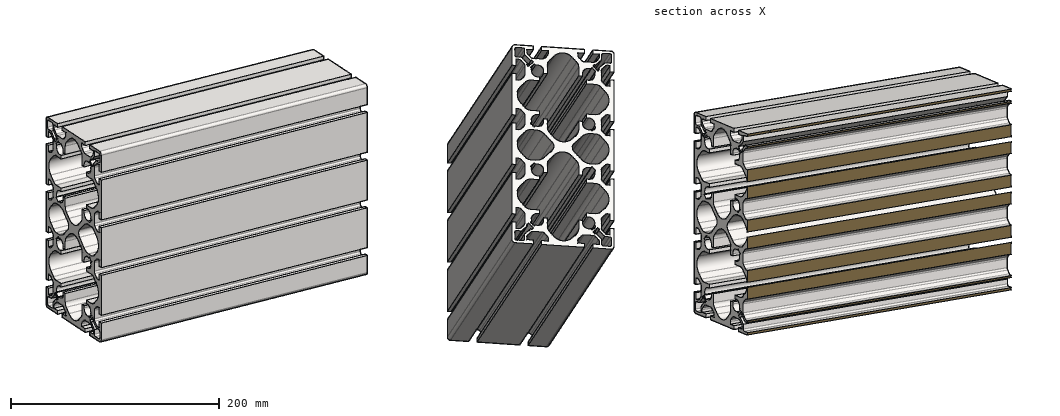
import cadquery as cq
import math

length = 300.0
cell = length / 3
width = cell
height = 2 * cell
slot_inset = cell / 4
node = cell / 2 - slot_inset
outer_radius = 3.0

slot_opening = 8.0
slot_lip = 4.0
slot_half_width = 10.5
slot_depth = 12.5
slot_chamfer = 4.8
slot_fillet = 3.0

lobe_half_width = 15.3
lobe_tip_wall = 5.0
lobe_tip = cell / 2 - lobe_tip_wall
lobe_tip_radius = 12.0
lobe_apex = lobe_tip + (math.sqrt(2) - 1) * lobe_tip_radius
shoulder_radius = 7.0

bore_radius = 6.0
bore_mouth = 2.0
lip_face = node - lobe_half_width
notch_width = 5.0
notch_reach = 7.2

corner_wall = 2.7
corner_end = 12.3
corner_fillet = 1.8
channel_width = 4.2
pocket_width = 6.5
pocket_depth = 2.5
pocket_end = 26.0

web_thickness = 4.8
opening_shoulder_radius = 12.0
opening_point_radius = 5.7


def profile():
    """Start a sketch in the XZ section plane."""
    return cq.Workplane("XZ")


def prism(outline):
    """Extrude a closed XZ outline over the full length."""
    return outline.close().extrude(-length)


def box(x_min, x_max, z_min, z_max):
    """Full-length bar with a rectangular section."""
    centre = ((x_min + x_max) / 2, (z_min + z_max) / 2)
    return profile().center(*centre).rect(x_max - x_min, z_max - z_min).extrude(-length)


def turned(body, angle, x=0.0, z=0.0):
    """Turn a body about the Y direction, then place it in the section."""
    return body.rotate((0, 0, 0), (0, 1, 0), angle).translate((x, 0, z))


def slot():
    """T-slot opening upwards, its mouth at z = 0."""
    floor_half_width = slot_half_width - slot_chamfer
    chamber = prism(profile().polyline([
        (-slot_half_width, -slot_lip),
        (-slot_half_width, slot_chamfer - slot_depth),
        (-floor_half_width, -slot_depth),
        (floor_half_width, -slot_depth),
        (slot_half_width, slot_chamfer - slot_depth),
        (slot_half_width, -slot_lip),
    ]))
    chamber = chamber.edges("|Y").edges("not >Z").fillet(slot_fillet)
    neck = box(-slot_opening / 2, slot_opening / 2, -slot_lip, 0)
    return chamber.union(neck)


def lobe(start):
    """Upward lobe about the origin, running from z = start to its round tip."""
    shoulder = lobe_apex - lobe_half_width
    body = prism(profile().polyline([
        (-lobe_half_width, start),
        (-lobe_half_width, shoulder),
        (0, lobe_apex),
        (lobe_half_width, shoulder),
        (lobe_half_width, start),
    ]))
    body = body.edges("|Y").edges("not (<Z or >Z)").fillet(shoulder_radius)
    return body.edges("|Y").edges(">Z").fillet(lobe_tip_radius)


def bore():
    """Screw bore at the origin, notched up right and open down left."""
    half_notch = notch_width / 2
    hole = profile().circle(bore_radius).extrude(-length)
    notch = turned(box(0, notch_reach, -half_notch, half_notch), -45)
    straight_sides = box(-bore_radius, 0, -bore_radius, 0)
    mouth = box(-lip_face, -bore_mouth, -lip_face, -bore_mouth)
    return hole.union(notch).union(straight_sides).union(mouth)


def corner_hollow():
    """Hollow behind the upper right outer corner, which lies at the origin."""
    chamber = box(-corner_end, -corner_wall, -corner_end, -corner_wall)
    chamber = chamber.edges("|Y").fillet(corner_fillet)
    half_channel = channel_width / 2
    half_pocket = pocket_width / 2
    channel = box(-pocket_end, -corner_end, -half_channel, half_channel)
    pocket = box(-pocket_end, pocket_depth - pocket_end, -half_pocket, half_pocket)
    return chamber.union(turned(channel.union(pocket), -45))


def middle_opening():
    """Left opening between the cells: a lobe outside, a rounded 45 degree point inside."""
    point = lobe_apex + web_thickness * math.sqrt(2) - cell / 2
    middle = (point + lobe_apex) / 2
    inner_half = prism(profile().polyline([
        (-middle, lobe_half_width),
        (-point - lobe_half_width, lobe_half_width),
        (-point, 0),
        (-point - lobe_half_width, -lobe_half_width),
        (-middle, -lobe_half_width),
    ]))
    inner_half = inner_half.edges("|Y").edges("not (<X or >X)").fillet(opening_shoulder_radius)
    inner_half = inner_half.edges("|Y").edges(">X").fillet(opening_point_radius)
    return inner_half.union(turned(lobe(middle), -90))


def cell_cuts():
    """Everything cut from the upper cell, with the cell centre at the origin."""
    edge = cell / 2
    bore_in_place = bore().translate((node, 0, node))
    cuts = []
    for turn in (0, 90, 180, 270):
        cuts.append(turned(lobe(0), turn))
        cuts.append(turned(bore_in_place, turn))
    for side in (-node, node):
        cuts.append(turned(slot(), 0, side, edge))
        cuts.append(turned(slot(), 90, edge, side))
        cuts.append(turned(slot(), -90, -edge, side))
    right_hollow = corner_hollow().translate((edge, 0, edge))
    cuts += [right_hollow, right_hollow.mirror("YZ")]
    return cuts


result = box(-width / 2, width / 2, -height / 2, height / 2).edges("|Y").fillet(outer_radius)
for cut in cell_cuts():
    upper_cut = cut.translate((0, 0, cell / 2))
    result = result.cut(upper_cut).cut(upper_cut.mirror("XY"))
left_opening = middle_opening()
result = result.cut(left_opening).cut(left_opening.mirror("YZ"))